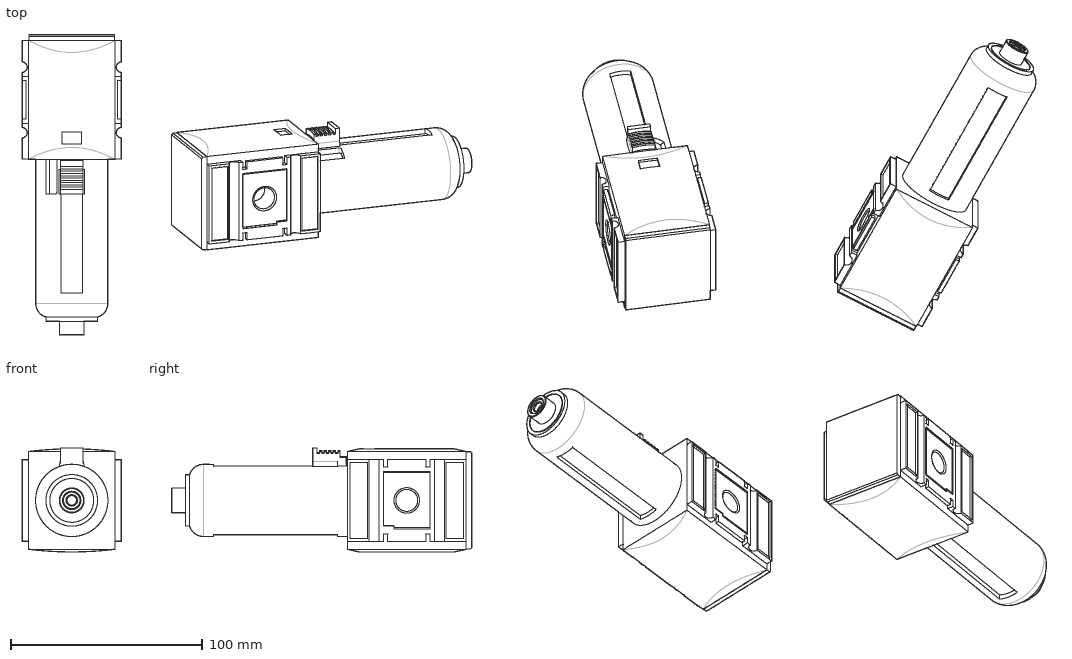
import cadquery as cq
import math


overall_length = 157.0

head_width = 45.2
head_height = 51.2
head_length = 62.2
crown_height = 54.0
crown_slope_length = 6.3
cap_length = 3.0
cap_inset = 0.2
cap_chamfer = 0.8

overall_width = 52.0
pad_height = 42.7
pad_setback = 0.2
port_y = 31.1
round_groove_radius = 2.7
round_groove_offset = 17.1
strip_length = 9.1
strip_height = 39.9
strip_depth = 1.1
strip_offset = 25.1
clip_span = 24.5
clip_notch_width = 2.2
clip_depth = 4.0
clip_thickness = 2.0
panel_top = 15.0
panel_bottom = -15.0
panel_step_bottom = -13.5
panel_step_length = 5.7
panel_ledge_depth = 0.3
panel_depth = 0.5
panel_ledge_top_width = 0.5
panel_ledge_bottom_width = 0.8
port_diameter = 11.5
port_mouth_diameter = 13.3
port_mouth_depth = 0.6
port_depth = 15.7

window_width = 10.2
window_length = 6.3
window_y = 11.3
window_floor_z = 25.6

bowl_radius = 37.8 / 2
bowl_core_radius = 16.3
shoulder_radius = 7.5
bowl_length = 82.7
flange_diameter = 27.0
flange_length = 1.9
flange_recess_diameter = 23.0
flange_recess_depth = 0.5
drain_diameter = 13.0
drain_edge_chamfer = 0.3
drain_tip_y = head_length + cap_length - overall_length
socket_diameter = 8.6
socket_chamfer = 0.5
socket_depth = 0.8
drain_hole_diameter = 5.0
drain_hole_chamfer = 0.5
drain_hole_depth = 2.7

sight_width = 11.1
sight_start = 5.2
sight_end = 69.9

slot_length = 18.0
slot_wall_x = -7.7
slot_wall_angle = 135.5
slot_corner_radius = 1.0

latch_width = 12.0
latch_gap = 0.5
latch_end = 18.0
latch_bottom_z = 14.1
latch_top_z = 27.5
neck_end = 3.8
neck_radius = 23.1
ridge_top_radius = 26.0
ridge_floor_radius = 25.1
ridge_count = 5
ridges_end = 15.7
rail_top_z = 20.4
rail_bottom_z = 17.6
rail_width = 0.6


def box_between(x_range, y_range, z_range):
    """Axis-aligned box from its limits."""
    size = [high - low for low, high in (x_range, y_range, z_range)]
    corner = (x_range[0], y_range[0], z_range[0])
    return cq.Workplane("XY").box(*size, centered=False).translate(corner)


def bowl_cylinder(radius, start, end):
    """Cylinder on the bowl axis, between two distances in front of the head."""
    return cq.Workplane("XZ").workplane(offset=start).circle(radius).extrude(end - start)


def head_block():
    """Square block whose top and bottom are arched across X and slope down at both ends."""
    half_width = head_width / 2
    half_height = head_height / 2
    half_crown = crown_height / 2
    arched = (
        cq.Workplane("XZ")
        .moveTo(-half_width, -half_height)
        .threePointArc((0, -half_crown), (half_width, -half_height))
        .lineTo(half_width, half_height)
        .threePointArc((0, half_crown), (-half_width, half_height))
        .close()
        .extrude(-head_length)
    )
    upper_profile = [
        (0, half_height),
        (crown_slope_length, half_crown),
        (head_length - crown_slope_length, half_crown),
        (head_length, half_height),
    ]
    lower_profile = [(y, -z) for y, z in reversed(upper_profile)]
    sloped = cq.Workplane("YZ").polyline(upper_profile + lower_profile).close().extrude(half_width, both=True)
    return arched.intersect(sloped)


def head_cap():
    """Flat cap on the back of the head."""
    return (
        cq.Workplane("XZ", origin=(0, head_length, 0))
        .rect(head_width - 2 * cap_inset, head_height - 2 * cap_inset)
        .extrude(-cap_length)
        .faces(">Y")
        .edges("|X")
        .chamfer(cap_chamfer)
    )


def panel_recess(top, bottom, step_bottom, depth):
    """Cutter for a recess around the -X port, with a step in its lower front corner."""
    front = port_y - clip_span / 2
    back = port_y + clip_span / 2
    step_y = front + panel_step_length
    outline = [
        (front, top),
        (back, top),
        (back, bottom),
        (step_y, bottom),
        (step_y, step_bottom),
        (front, step_bottom),
    ]
    return cq.Workplane("YZ", origin=(-overall_width / 2, 0, 0)).polyline(outline).close().extrude(depth)


def side_pad():
    """Mounting pad on the -X side, with its grooves, clips and recesses but without the port."""
    outer_x = -overall_width / 2
    inner_x = -head_width / 2
    half_height = pad_height / 2
    pad = box_between((outer_x, inner_x), (pad_setback, head_length), (-half_height, half_height))

    for side in (-1, 1):
        groove_y = port_y + side * round_groove_offset
        groove = (
            cq.Workplane("XY", origin=(outer_x, groove_y, 0))
            .circle(round_groove_radius)
            .extrude(pad_height, both=True)
        )
        strip_y = port_y + side * strip_offset
        strip = cq.Workplane("XY").box(2 * strip_depth, strip_length, strip_height)
        pad = pad.cut(groove).cut(strip.translate((outer_x, strip_y, 0)))

    clip_front = port_y - clip_span / 2
    clip_back = port_y + clip_span / 2
    for z_range in ((half_height - clip_depth, half_height), (-half_height, clip_depth - half_height)):
        clip_slot = box_between((outer_x, inner_x), (clip_front, clip_back), z_range)
        clip = box_between(
            (outer_x, outer_x + clip_thickness),
            (clip_front + clip_notch_width, clip_back - clip_notch_width),
            z_range,
        )
        pad = pad.cut(clip_slot.cut(clip))

    ledge = panel_recess(panel_top, panel_bottom, panel_step_bottom, panel_ledge_depth)
    panel = panel_recess(
        panel_top - panel_ledge_top_width,
        panel_bottom + panel_ledge_bottom_width,
        panel_step_bottom + panel_ledge_top_width,
        panel_depth,
    )
    return pad.cut(ledge).cut(panel)


def side_port():
    """Blind port with a conical mouth, entering from the -X side."""
    floor_x = port_depth - overall_width / 2
    outer_x = panel_depth - overall_width / 2
    port_radius = port_diameter / 2
    profile = [
        (floor_x, 0),
        (floor_x, port_radius),
        (outer_x + port_mouth_depth, port_radius),
        (outer_x, port_mouth_diameter / 2),
        (outer_x, 0),
    ]
    bore = cq.Workplane("XY").polyline(profile).close().revolve(360, (0, 0, 0), (1, 0, 0))
    return bore.translate((0, port_y, 0))


def marking_window():
    """Cutter for the rectangular window in the top of the head."""
    cutter_height = crown_height / 2 - window_floor_z
    return (
        cq.Workplane("XY", origin=(0, window_y, window_floor_z))
        .rect(window_width, window_length)
        .extrude(cutter_height)
    )


def make_head():
    pad = side_pad()
    port = side_port()
    head = head_block().union(head_cap()).cut(marking_window())
    head = head.union(pad).union(pad.mirror("YZ"))
    return head.cut(port).cut(port.mirror("YZ"))


def bowl_shell():
    """Turned shape of the bowl with its shoulder, flange and drain."""
    tangent_radius = bowl_radius - shoulder_radius
    flange_radius = flange_diameter / 2
    drain_radius = drain_diameter / 2
    shoulder_y = shoulder_radius - bowl_length
    flange_y = -bowl_length - flange_length
    recess_y = flange_y + flange_recess_depth
    diagonal = shoulder_radius * math.sqrt(0.5)
    body = (
        cq.Workplane("XY")
        .lineTo(bowl_radius, 0)
        .lineTo(bowl_radius, shoulder_y)
        .threePointArc((tangent_radius + diagonal, shoulder_y - diagonal), (tangent_radius, -bowl_length))
        .lineTo(0, -bowl_length)
        .close()
        .revolve(360, (0, 0, 0), (0, 1, 0))
    )
    flange = bowl_cylinder(flange_radius, -shoulder_y, -flange_y)
    flange_recess = bowl_cylinder(flange_recess_diameter / 2, -recess_y, -flange_y)
    drain = bowl_cylinder(drain_radius, bowl_length, -drain_tip_y).faces("<Y").chamfer(drain_edge_chamfer)
    return body.union(flange.cut(flange_recess)).union(drain)


def drain_bore():
    """Chamfered socket and hole in the tip of the drain."""
    socket_radius = socket_diameter / 2
    hole_radius = drain_hole_diameter / 2
    socket_y = drain_tip_y + socket_depth
    hole_y = socket_y + drain_hole_depth
    profile = [
        (0, drain_tip_y),
        (socket_radius + socket_chamfer, drain_tip_y),
        (socket_radius, drain_tip_y + socket_chamfer),
        (socket_radius, socket_y),
        (hole_radius + drain_hole_chamfer, socket_y),
        (hole_radius, socket_y + drain_hole_chamfer),
        (hole_radius, hole_y),
        (0, hole_y),
    ]
    return cq.Workplane("XY").polyline(profile).close().revolve(360, (0, 0, 0), (0, 1, 0))


def sight_recesses():
    """Cutter for the long recesses in the top and bottom of the bowl wall."""
    half_width = sight_width / 2
    band = box_between((-half_width, half_width), (-sight_end, -sight_start), (-bowl_radius, bowl_radius))
    return band.cut(bowl_cylinder(bowl_core_radius, 0, bowl_length))


def locking_slot():
    """Cutter between a radial wall and an upright wall, open towards the head."""
    reach = 2 * bowl_radius
    angle = math.radians(slot_wall_angle)
    outline = [
        (slot_wall_x, -slot_wall_x * math.tan(math.pi - angle)),
        (reach * math.cos(angle), reach * math.sin(angle)),
        (slot_wall_x, reach * math.sin(angle)),
    ]
    wedge = cq.Workplane("XZ").polyline(outline).close().extrude(slot_length)
    wedge = wedge.edges("|Z and <Y").fillet(slot_corner_radius)
    return wedge.cut(bowl_cylinder(bowl_core_radius, 0, slot_length))


def arched_block(start, end, radius):
    """Stretch of the latch whose top is curved about the bowl axis."""
    half_width = latch_width / 2
    block = box_between((-half_width, half_width), (-end, -start), (latch_bottom_z, radius))
    return block.intersect(bowl_cylinder(radius, start, end))


def latch_rails():
    """Tapered rails low on both sides of the latch."""
    half_width = latch_width / 2
    outline = [
        (-half_width, rail_top_z),
        (half_width, rail_top_z),
        (half_width + rail_width, rail_bottom_z),
        (half_width + rail_width, latch_bottom_z),
        (-half_width - rail_width, latch_bottom_z),
        (-half_width - rail_width, rail_bottom_z),
    ]
    length = latch_end - sight_start
    return cq.Workplane("XZ").workplane(offset=sight_start).polyline(outline).close().extrude(length)


def latch():
    """Thumb latch with a low neck, finger ridges and an end stop."""
    half_width = latch_width / 2
    ridge_pitch = (ridges_end - neck_end) / ridge_count
    shape = arched_block(latch_gap, latch_end, neck_radius)
    shape = shape.union(arched_block(neck_end, latch_end, ridge_floor_radius))
    for index in range(ridge_count):
        ridge_start = neck_end + index * ridge_pitch
        shape = shape.union(arched_block(ridge_start, ridge_start + ridge_pitch / 2, ridge_top_radius))
    stop = box_between((-half_width, half_width), (-latch_end, -ridges_end), (latch_bottom_z, latch_top_z))
    return shape.union(stop).union(latch_rails())


def make_bowl():
    bowl = bowl_shell().cut(drain_bore()).cut(sight_recesses()).cut(locking_slot())
    return bowl.union(latch())


head = make_head()
bowl = make_bowl()
result = cq.Compound.makeCompound([head.val(), bowl.val()])